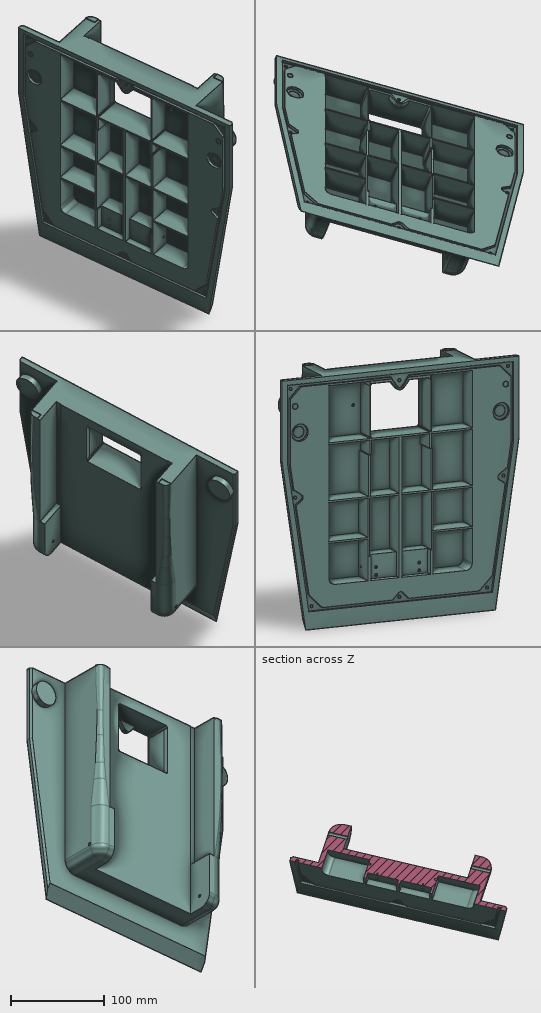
import cadquery as cq
import math


PLATE_HALF_TOP = 140.0
PLATE_HALF_BOTTOM = 112.0
PLATE_HEIGHT = 277.2
PLATE_KINK_Z = 188.7
PLATE_THICK = 6.5
EDGE_CHAMFER = 2.2
TIP_BEVEL_HEIGHT = 17.5

GROOVE_DEPTH = 3.0
GROOVE_HALF_TOP = 133.3
GROOVE_HALF_BOTTOM = 108.5
GROOVE_TOP_Z = 272.0
GROOVE_BOTTOM_Z = 20.0
GROOVE_KINK_Z = 183.7
GROOVE_WIDTH = 3.0
PANEL_TOP_Z = GROOVE_TOP_Z - GROOVE_WIDTH
PANEL_BOTTOM_Z = GROOVE_BOTTOM_Z + GROOVE_WIDTH
PANEL_CORNER_TOP = 12.5
PANEL_CORNER_BOTTOM = 15.5

PAD_TIP_HALF = 3.5
PAD_TIP_RISE = 2.0
TOP_PAD_HALF, TOP_PAD_REACH = 11.2, 13.2
SIDE_PAD_HALF, SIDE_PAD_REACH = 8.7, 9.5
BOTTOM_PAD_HALF, BOTTOM_PAD_REACH = 9.8, 8.5
SIDE_PAD_Z = 146.5
SCREW_DIA = 3.5
SCREW_DEPTH = 0.8
SCREW_INSET = 5.0
SIDE_SCREW_INSET = 1.7
LOW_SCREW_INSET = 2.5

SEAT_X, SEAT_Z = 118.7, 218.5
SEAT_DIA, SEAT_DEPTH = 19.0, 3.5
SEAT_INNER_DIA, SEAT_INNER_DEPTH = 12.3, 4.0
FOOT_X, FOOT_Z = 124.3, 247.8
FOOT_DIA, FOOT_BACK_Y = 28.0, 13.5
FOOT_HOLE_DIA, FOOT_HOLE_DEPTH = 6.2, 0.8

HOUSING_HALF = 90.5
HOUSING_BOTTOM_Z = 41.5
DEPTH = 61.3
HOUSING_RADIUS = 14.0
LEDGE_Z = 103.5
LIP_WIDTH, LIP_DEPTH, LIP_HEIGHT = 12.0, 6.5, 0.8
LIP_TOP_Z = PLATE_HEIGHT + LIP_HEIGHT
ARM_ROUNDING = (
    (LEDGE_Z, HOUSING_RADIUS, HOUSING_RADIUS),
    (135.8, 11.0, 9.2),
    (155.7, 9.5, 6.7),
    (189.5, 8.5, 4.8),
    (220.5, 8.0, 4.0),
    (LIP_TOP_Z, 8.0, LIP_DEPTH),
)

CHANNEL_Y = 31.0
CHANNEL_HALF_UPPER = 75.0
CHANNEL_HALF_LOWER = 69.0
CHANNEL_UPPER_EXTRA = 0.5
ARM_HOLE_DIA = 3.5
ARM_HOLE_Y, ARM_HOLE_Z = 45.5, 57.7

POCKET_HALF = 84.5
POCKET_BOTTOM_Z = 47.0
POCKET_TOP_Z = 266.8
POCKET_DEPTH = 24.5
POCKET_RADIUS = 7.5
SHELF_THICK = 2.0
SHELF_TOPS = (203.8, 140.0)
SIDE_SHELF_TOP = 95.0
CENTER_RIB = 3.5
RIB_STEP_Z = 185.5
RIB_OUTER_LOW = 38.5
BLOCK_TOP_Z = 74.0
BLOCK_FRONT_Y = 7.5
WINDOW_HALF = 35.5
WINDOW_TOP_Z = 263.8
WINDOW_CHAMFER = 2.2
WINDOW_LIP_Y = 1.0
TAB_WALL = 2.0
SILL_WIDTH, SILL_HEIGHT = 1.5, 1.0

PIN_DIA = 3.0
PIN_DEPTH = 2.8
CELL_PIN_X, CELL_PIN_Z = 44.8, 236.3
BLOCK_PIN_X, BLOCK_PIN_ZS = 25.5, (50.7, 59.5)
RIB_PIN_DIA = 2.0
RIB_PIN_END_X = RIB_OUTER_LOW - PIN_DEPTH
RIB_PIN_Y, RIB_PIN_Z = 19.3, 58.5

SIDES = (-1, 1)
OVERSHOOT = 2.8


def box(x0, x1, y0, y1, z0, z1):
    return cq.Workplane("XY").box(x1 - x0, y1 - y0, z1 - z0, centered=False).translate((x0, y0, z0))


def side_box(side, inner, outer, y0, y1, z0, z1):
    """Box between two distances from the middle, on the left (-1) or right (1) side."""
    x0, x1 = sorted((side * inner, side * outer))
    return box(x0, x1, y0, y1, z0, z1)


def prism(outline, y0, y1):
    """Extrude a closed outline, drawn in X and Z, from y0 back to y1."""
    return outline.close().extrude(y0 - y1).translate((0, y0, 0))


def polygon(points):
    return cq.Workplane("XZ").polyline(points)


def mirrored(right_points):
    """Complete an outline from the points of its right half, listed top to bottom."""
    return right_points + [(-x, z) for x, z in reversed(right_points)]


def pin(x, z, diameter, y0, y1):
    return cq.Workplane("XZ").center(x, z).circle(diameter / 2).extrude(y0 - y1).translate((0, y0, 0))


def cross_pin(x0, x1, y, z, diameter):
    return cq.Workplane("YZ").center(y, z).circle(diameter / 2).extrude(x1 - x0).translate((x0, 0, 0))


def face_plate():
    right = [
        (PLATE_HALF_TOP, PLATE_HEIGHT),
        (PLATE_HALF_TOP, PLATE_KINK_Z),
        (PLATE_HALF_BOTTOM, 0),
    ]
    plate = prism(polygon(mirrored(right)), 0, PLATE_THICK)
    for side in SIDES:
        rear_edges = cq.selectors.BoxSelector(
            (side * PLATE_HALF_BOTTOM, PLATE_THICK - EDGE_CHAMFER, 0),
            (side * (PLATE_HALF_TOP + OVERSHOOT), PLATE_THICK + OVERSHOOT, PLATE_HEIGHT),
        )
        plate = plate.edges(rear_edges).chamfer(EDGE_CHAMFER)
    bevel = (
        cq.Workplane("YZ")
        .polyline([(0, 0), (PLATE_THICK, TIP_BEVEL_HEIGHT), (PLATE_THICK, 0)])
        .close()
        .extrude(PLATE_HALF_TOP, both=True)
    )
    return plate.cut(bevel)


def corner_round(z, width, depth):
    """Waste outside one rounded rear corner of the housing, as a closed section at height z."""
    x_side, y_back = HOUSING_HALF, DEPTH
    inset = 1 - math.sqrt(0.5)
    middle = (x_side - width * inset, y_back - depth * inset)
    return (
        cq.Workplane("XY", origin=(0, 0, z))
        .moveTo(x_side, y_back - depth)
        .threePointArc(middle, (x_side - width, y_back))
        .lineTo(x_side - width, y_back + OVERSHOOT)
        .lineTo(x_side + OVERSHOOT, y_back + OVERSHOOT)
        .lineTo(x_side + OVERSHOOT, y_back - depth)
        .close()
        .val()
    )


def rear_housing():
    lower = box(-HOUSING_HALF, HOUSING_HALF, 0, DEPTH, HOUSING_BOTTOM_Z, LEDGE_Z)
    lower = lower.edges("(|Y and <Z) or (>Y and (not >Z))").fillet(HOUSING_RADIUS)
    upper = box(-HOUSING_HALF, HOUSING_HALF, 0, DEPTH, LEDGE_Z, PLATE_HEIGHT)
    lip_x = HOUSING_HALF - LIP_WIDTH
    for side in SIDES:
        lip = side_box(side, lip_x, HOUSING_HALF, DEPTH - LIP_DEPTH, DEPTH, PLATE_HEIGHT, LIP_TOP_Z)
        upper = upper.union(lip)
    sections = [corner_round(*row) for row in ARM_ROUNDING]
    for below, above in zip(sections, sections[1:]):
        waste = cq.Workplane(cq.Solid.makeLoft([below, above], True))
        upper = upper.cut(waste).cut(waste.mirror("YZ"))
    return lower.union(upper)


def rear_channel():
    """Open channel down the whole back, wider and a little deeper along each arm above the ledge."""
    back = DEPTH + OVERSHOOT
    top = PLATE_HEIGHT + OVERSHOOT
    half = CHANNEL_HALF_LOWER
    channel = box(-half, half, CHANNEL_Y, back, 0, top)
    front = CHANNEL_Y - CHANNEL_UPPER_EXTRA
    for side in SIDES:
        channel = channel.union(side_box(side, half, CHANNEL_HALF_UPPER, front, back, LEDGE_Z, top))
    return channel


def rear_feet():
    feet = cq.Workplane("XY")
    for side in SIDES:
        feet = feet.union(pin(side * FOOT_X, FOOT_Z, FOOT_DIA, 0, FOOT_BACK_Y))
    return feet


def pocket():
    cavity = box(-POCKET_HALF, POCKET_HALF, 0, POCKET_DEPTH, POCKET_BOTTOM_Z, POCKET_TOP_Z)
    return cavity.edges("|Y and <Z").fillet(POCKET_RADIUS)


def window():
    """Opening through the back of the middle upper cell, with a low sill left along each side."""
    sill_z = SHELF_TOPS[0]
    opening = box(-WINDOW_HALF, WINDOW_HALF, 0, CHANNEL_Y, sill_z, WINDOW_TOP_Z)
    opening = opening.edges("|Y and >Z").chamfer(WINDOW_CHAMFER)
    for side in SIDES:
        sill_x = WINDOW_HALF - SILL_WIDTH
        sill = side_box(side, sill_x, WINDOW_HALF, 0, CHANNEL_Y, sill_z, sill_z + SILL_HEIGHT)
        opening = opening.cut(sill)
    return opening


def pocket_walls():
    """Shelves, partitions, blocks and the lintel that stand inside the pocket."""
    upper_shelf, middle_shelf = SHELF_TOPS
    stretches = [
        (upper_shelf, POCKET_TOP_Z, WINDOW_HALF, 36.5),
        (RIB_STEP_Z, upper_shelf + SILL_HEIGHT, WINDOW_HALF - SILL_WIDTH, 36.5),
        (middle_shelf, RIB_STEP_Z, WINDOW_HALF, 37.8),
        (BLOCK_TOP_Z, middle_shelf, 36.7, RIB_OUTER_LOW),
        (POCKET_BOTTOM_Z, BLOCK_TOP_Z, 35.3, RIB_OUTER_LOW),
    ]
    block_half = stretches[-1][2]
    walls = box(-CENTER_RIB / 2, CENTER_RIB / 2, 0, POCKET_DEPTH, POCKET_BOTTOM_Z, upper_shelf)
    for top in SHELF_TOPS:
        walls = walls.union(box(-POCKET_HALF, POCKET_HALF, 0, POCKET_DEPTH, top - SHELF_THICK, top))
    for side in SIDES:
        for bottom, top, inner, outer in stretches:
            walls = walls.union(side_box(side, inner, outer, 0, POCKET_DEPTH, bottom, top))
        shelf_z = SIDE_SHELF_TOP - SHELF_THICK
        shelf = side_box(side, RIB_OUTER_LOW, POCKET_HALF, 0, POCKET_DEPTH, shelf_z, SIDE_SHELF_TOP)
        walls = walls.union(shelf)
    blocks = box(-block_half, block_half, BLOCK_FRONT_Y, POCKET_DEPTH, POCKET_BOTTOM_Z, BLOCK_TOP_Z)
    lintel = box(-WINDOW_HALF, WINDOW_HALF, WINDOW_LIP_Y, POCKET_DEPTH, upper_shelf, POCKET_TOP_Z)
    return walls.union(blocks).union(lintel)


def pad(half, reach, y0, y1, tip_half=PAD_TIP_HALF):
    """Rounded wedge pointing up from the origin, with a skirt below its base to overlap the groove."""
    shoulder = reach - PAD_TIP_RISE
    outline = (
        cq.Workplane("XZ")
        .moveTo(-half, -GROOVE_WIDTH / 2)
        .lineTo(-half, 0)
        .lineTo(-tip_half, shoulder)
        .threePointArc((0, reach), (tip_half, shoulder))
        .lineTo(half, 0)
        .lineTo(half, -GROOVE_WIDTH / 2)
    )
    return prism(outline, y0, y1)


def panel_half(z):
    """Half width of the raised panel at height z on its sloping sides."""
    slope = (GROOVE_HALF_TOP - GROOVE_HALF_BOTTOM) / (GROOVE_KINK_Z - GROOVE_BOTTOM_Z)
    return GROOVE_HALF_TOP - GROOVE_WIDTH - slope * max(GROOVE_KINK_Z - z, 0)


def groove():
    outer = [
        (GROOVE_HALF_TOP, GROOVE_TOP_Z),
        (GROOVE_HALF_TOP, GROOVE_KINK_Z),
        (GROOVE_HALF_BOTTOM, GROOVE_BOTTOM_Z),
    ]
    half_top = panel_half(PANEL_TOP_Z)
    corner_z = PANEL_BOTTOM_Z + PANEL_CORNER_BOTTOM
    panel = [
        (half_top - PANEL_CORNER_TOP, PANEL_TOP_Z),
        (half_top, PANEL_TOP_Z - PANEL_CORNER_TOP),
        (half_top, GROOVE_KINK_Z),
        (panel_half(corner_z), corner_z),
        (panel_half(corner_z) - PANEL_CORNER_BOTTOM, PANEL_BOTTOM_Z),
    ]
    ring = prism(polygon(mirrored(outer)), 0, GROOVE_DEPTH)
    ring = ring.cut(prism(polygon(mirrored(panel)), 0, GROOVE_DEPTH))
    bottom_pad = pad(BOTTOM_PAD_HALF, BOTTOM_PAD_REACH, 0, GROOVE_DEPTH)
    side_pad = pad(SIDE_PAD_HALF, SIDE_PAD_REACH, 0, GROOVE_DEPTH)
    ring = ring.union(bottom_pad.translate((0, 0, PANEL_BOTTOM_Z)))
    ring = ring.union(top_pad(0, 0, GROOVE_DEPTH))
    for side in SIDES:
        turned = side_pad.rotate((0, 0, 0), (0, 1, 0), -side * 90)
        ring = ring.union(turned.translate((side * panel_half(SIDE_PAD_Z), 0, SIDE_PAD_Z)))
    return ring


def top_pad(wall, y0, y1):
    """The upper pad, grown by a wall thickness all round its tip."""
    wedge = pad(TOP_PAD_HALF + 2 * wall, TOP_PAD_REACH + wall, y0, y1, PAD_TIP_HALF + wall / 2)
    return wedge.rotate((0, 0, 0), (0, 1, 0), 180).translate((0, 0, PANEL_TOP_Z))


def screw_holes():
    low_z = GROOVE_BOTTOM_Z + SCREW_INSET
    spots = [
        (0, PANEL_TOP_Z - SCREW_INSET),
        (0, low_z),
    ]
    for side in SIDES:
        spots.append((side * (GROOVE_HALF_TOP - SCREW_INSET), GROOVE_TOP_Z - SCREW_INSET))
        spots.append((side * (panel_half(low_z) - LOW_SCREW_INSET), low_z))
        spots.append((side * (panel_half(SIDE_PAD_Z) - SIDE_SCREW_INSET), SIDE_PAD_Z))
    holes = cq.Workplane("XY")
    for x, z in spots:
        holes = holes.union(pin(x, z, SCREW_DIA, GROOVE_DEPTH, GROOVE_DEPTH + SCREW_DEPTH))
    return holes


def seats_and_foot_holes():
    holes = cq.Workplane("XY")
    for side in SIDES:
        holes = holes.union(pin(side * SEAT_X, SEAT_Z, SEAT_DIA, 0, SEAT_DEPTH))
        holes = holes.union(pin(side * SEAT_X, SEAT_Z, SEAT_INNER_DIA, 0, SEAT_INNER_DEPTH))
        holes = holes.union(pin(side * FOOT_X, FOOT_Z, FOOT_HOLE_DIA, 0, FOOT_HOLE_DEPTH))
    return holes


def cell_pins():
    holes = cross_pin(-HOUSING_HALF, HOUSING_HALF, ARM_HOLE_Y, ARM_HOLE_Z, ARM_HOLE_DIA)
    for side in SIDES:
        x0, x1 = sorted((side * RIB_PIN_END_X, side * RIB_OUTER_LOW))
        holes = holes.union(cross_pin(x0, x1, RIB_PIN_Y, RIB_PIN_Z, RIB_PIN_DIA))
        holes = holes.union(
            pin(side * CELL_PIN_X, CELL_PIN_Z, PIN_DIA, POCKET_DEPTH, POCKET_DEPTH + PIN_DEPTH)
        )
        for z in BLOCK_PIN_ZS:
            holes = holes.union(
                pin(side * BLOCK_PIN_X, z, PIN_DIA, BLOCK_FRONT_Y, BLOCK_FRONT_Y + PIN_DEPTH)
            )
    return holes


body = face_plate().union(rear_housing()).union(rear_feet())
body = body.cut(rear_channel()).cut(pocket()).union(pocket_walls())
body = body.cut(window()).union(top_pad(TAB_WALL, WINDOW_LIP_Y, PLATE_THICK))
body = body.cut(groove())
result = body.cut(screw_holes()).cut(seats_and_foot_holes()).cut(cell_pins())